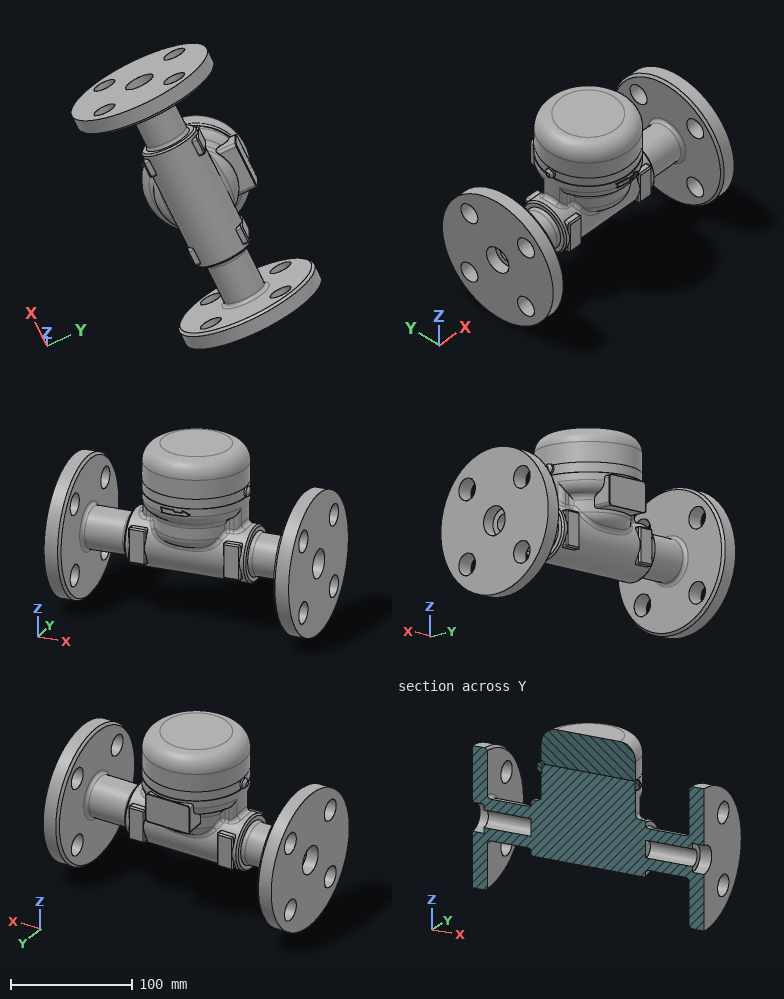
import cadquery as cq
import math


LENGTH = 220.0
FLANGE_DIA = 125.0
FLANGE_THICKNESS = 14.5
FLANGE_CHAMFER = 2.2
BOLT_CIRCLE_DIA = 90.0
BOLT_HOLE_DIA = 19.0
BOLT_HOLE_COUNT = 4

PIPE_DIA = 37.0
SOCKET_DIA = 25.0
SOCKET_DEPTH = 11.0
BORE_DIA = 15.0

BARREL_DIA = 50.0
BARREL_LENGTH = 109.3
BARREL_CHAMFER = 1.5

FLANGE_BLEND_RADIUS = 3.0
FLARE_LENGTH = 3.5
FLARE_RISE = 1.0

FLAT_LENGTH = 15.6
FLAT_HEIGHT = 31.7
FLAT_OUTER_X = 50.4
FLAT_FACE_Y = 25.3
FLAT_ROUND = 1.8
FLAT_CHAMFER = 1.3

NECK_RADIUS = 35.2
BOWL_FLOOR_Z = 7.7
BOWL_FLOOR_ROUND = 10.0
SEAM_RADIUS = 4.0
NECK_TOP_Z = 28.0
RIM_BOTTOM_Z = 42.7
RIM_ROUND = 10.0

CAP_DIA = 90.0
CAP_BOTTOM_Z = 49.3
CAP_TOP_Z = 90.0
CAP_ROUND = 15.0
SPIGOT_DIA = 88.7
SPIGOT_HEIGHT = 8.5
KNOB_DIA = 9.0
KNOB_Z = 54.3
KNOB_TIP_X = 49.0
KNOB_CHAMFER = 2.5

RIB_WIDTH = 25.0
RIB_CORNER_ROUND = 5.0
RIB_NECK_BLEND = 4.0

PLATE_WIDTH = 42.2
PLATE_TOP_Z = 47.0
PLATE_BOTTOM_Z = 20.7
PLATE_CORNER = 2.6
PLATE_THICKNESS = 0.9
PLATE_FACE_Y = 46.2

ARROW_FACE_RADIUS = 46.0
ARROW_Z = 44.2
ARROW_HALF_LENGTH = 13.2
ARROW_NOTCH = 1.8
ARROW_TAIL_LENGTH = 12.0
ARROW_TAIL_HALF = 2.9
ARROW_HEAD_LENGTH = 6.4
ARROW_SHAFT_HALF = 1.3
ARROW_HEAD_HALF = 3.3

cap_radius = CAP_DIA / 2
barrel_end_x = BARREL_LENGTH / 2
flange_inner_x = LENGTH / 2 - FLANGE_THICKNESS
neck_bottom_z = BOWL_FLOOR_Z + BOWL_FLOOR_ROUND
SIDES = (-1, 1)

SELECTION_MARGIN = 1.0


def cylinder_x(diameter, x_start, x_end):
    """Round bar on the X axis between two X positions."""
    return cq.Workplane("YZ", origin=(x_start, 0, 0)).circle(diameter / 2).extrude(x_end - x_start)


def bowl_and_rim():
    """Bowl, waist and rim turned about Z; the waist is two arcs meeting tangentially."""
    rim_center_r = cap_radius - RIM_ROUND
    rise = RIM_BOTTOM_Z - NECK_TOP_Z
    overhang = cap_radius - NECK_RADIUS
    radius_sum = (overhang**2 + rise**2) / (2 * overhang)
    waist_radius = radius_sum - RIM_ROUND
    waist_center_r = NECK_RADIUS + waist_radius
    lean = math.asin(rise / radius_sum)
    half_lean = lean / 2

    def on_rim(angle):
        return (rim_center_r + RIM_ROUND * math.cos(angle), RIM_BOTTOM_Z - RIM_ROUND * math.sin(angle))

    def on_waist(angle):
        return (waist_center_r - waist_radius * math.cos(angle), NECK_TOP_Z + waist_radius * math.sin(angle))

    diagonal = BOWL_FLOOR_ROUND * (1 - math.sqrt(0.5))
    return (
        cq.Workplane("XZ")
        .moveTo(0, BOWL_FLOOR_Z)
        .lineTo(NECK_RADIUS - BOWL_FLOOR_ROUND, BOWL_FLOOR_Z)
        .threePointArc(
            (NECK_RADIUS - diagonal, BOWL_FLOOR_Z + diagonal),
            (NECK_RADIUS, neck_bottom_z),
        )
        .lineTo(NECK_RADIUS, NECK_TOP_Z)
        .threePointArc(on_waist(half_lean), on_waist(lean))
        .threePointArc(on_rim(half_lean), (cap_radius, RIM_BOTTOM_Z))
        .lineTo(cap_radius, CAP_BOTTOM_Z)
        .lineTo(0, CAP_BOTTOM_Z)
        .close()
        .revolve(360, (0, 0), (0, 1))
    )


def neck_and_ribs():
    """Straight part of the neck with a rib at both X ends, blended into it in plan."""
    height = RIM_BOTTOM_Z - neck_bottom_z
    base = cq.Workplane("XY", origin=(0, 0, neck_bottom_z))
    web = base.rect(CAP_DIA, RIB_WIDTH).extrude(height).intersect(base.circle(cap_radius).extrude(height))
    neck = base.circle(NECK_RADIUS).extrude(height)
    web = web.edges("|Z").fillet(RIB_CORNER_ROUND)
    inner_corner_x = math.sqrt(NECK_RADIUS**2 - (RIB_WIDTH / 2) ** 2)
    reach = inner_corner_x + SELECTION_MARGIN
    inner_corners = cq.selectors.BoxSelector((-reach, -RIB_WIDTH, 0), (reach, RIB_WIDTH, CAP_TOP_Z))
    return neck.union(web).edges("|Z").edges(inner_corners).fillet(RIB_NECK_BLEND)


def barrel_and_bowl():
    """Barrel and bowl, with the curve where they meet blended all round."""
    barrel = cylinder_x(BARREL_DIA, -barrel_end_x, barrel_end_x).edges().chamfer(BARREL_CHAMFER)
    middle = barrel.union(bowl_and_rim()).union(neck_and_ribs())
    half_length = barrel_end_x - 2 * BARREL_CHAMFER
    half_width = BARREL_DIA / 2 + SELECTION_MARGIN
    seam = cq.selectors.BoxSelector(
        (-half_length, -half_width, SELECTION_MARGIN),
        (half_length, half_width, half_width),
        boundingbox=True,
    )
    return middle.edges(seam).fillet(SEAM_RADIUS)


def pipe_end():
    """Flange and pipe at the +X end, turned about X with a blend at both ends of the pipe."""
    pipe_r = PIPE_DIA / 2
    flange_r = FLANGE_DIA / 2
    blend_diagonal = FLANGE_BLEND_RADIUS * (1 - math.sqrt(0.5))
    flare_radius = (FLARE_LENGTH**2 + FLARE_RISE**2) / (2 * FLARE_RISE)
    flare_half_angle = math.asin(FLARE_LENGTH / flare_radius) / 2
    flare_start_x = barrel_end_x + FLARE_LENGTH
    flare_middle = (
        flare_start_x - flare_radius * math.sin(flare_half_angle),
        pipe_r + flare_radius * (1 - math.cos(flare_half_angle)),
    )
    end = (
        cq.Workplane("XY")
        .moveTo(barrel_end_x, 0)
        .lineTo(barrel_end_x, pipe_r + FLARE_RISE)
        .threePointArc(flare_middle, (flare_start_x, pipe_r))
        .lineTo(flange_inner_x - FLANGE_BLEND_RADIUS, pipe_r)
        .threePointArc(
            (flange_inner_x - blend_diagonal, pipe_r + blend_diagonal),
            (flange_inner_x, pipe_r + FLANGE_BLEND_RADIUS),
        )
        .lineTo(flange_inner_x, flange_r - FLANGE_CHAMFER)
        .lineTo(flange_inner_x + FLANGE_CHAMFER, flange_r)
        .lineTo(LENGTH / 2, flange_r)
        .lineTo(LENGTH / 2, 0)
        .close()
        .revolve(360, (0, 0), (1, 0))
    )
    bolt_holes = (
        cq.Workplane("YZ", origin=(flange_inner_x, 0, 0))
        .polarArray(BOLT_CIRCLE_DIA / 2, 180 / BOLT_HOLE_COUNT, 360, BOLT_HOLE_COUNT)
        .circle(BOLT_HOLE_DIA / 2)
        .extrude(FLANGE_THICKNESS)
    )
    return end.cut(bolt_holes)


def stepped_bore():
    """Socket in the +X flange face and the narrower blind bore behind it."""
    socket = cylinder_x(SOCKET_DIA, LENGTH / 2 - SOCKET_DEPTH, LENGTH / 2)
    return socket.union(cylinder_x(BORE_DIA, barrel_end_x, LENGTH / 2))


def wrench_flats():
    """Four rounded pads, one at each end of the barrel, front and back."""
    pads = []
    for x_side in SIDES:
        for y_side in SIDES:
            face = ">Y" if y_side > 0 else "<Y"
            pad = (
                cq.Workplane("XY")
                .box(FLAT_LENGTH, FLAT_FACE_Y, FLAT_HEIGHT)
                .edges("|Y")
                .fillet(FLAT_ROUND)
                .faces(face)
                .edges()
                .chamfer(FLAT_CHAMFER)
                .translate((x_side * (FLAT_OUTER_X - FLAT_LENGTH / 2), y_side * FLAT_FACE_Y / 2, 0))
            )
            pads.append(pad)
    return pads


def plate_block(y_start, y_end):
    """Block with the nameplate's rounded outline between two Y positions."""
    height = PLATE_TOP_Z - PLATE_BOTTOM_Z
    return (
        cq.Workplane("XZ", origin=(0, y_end, PLATE_BOTTOM_Z + height / 2))
        .rect(PLATE_WIDTH, height)
        .extrude(y_end - y_start)
        .edges("|Y")
        .fillet(PLATE_CORNER)
    )


def flow_arrow():
    """Raised arrow with a notched tail, pointing to +X, curved with the rim and cut off at its lower edge."""
    tail_x = -ARROW_HALF_LENGTH
    tail_end_x = tail_x + ARROW_TAIL_LENGTH
    head_x = ARROW_HALF_LENGTH - ARROW_HEAD_LENGTH
    upper_edge = [
        (tail_x, ARROW_TAIL_HALF),
        (tail_end_x, ARROW_TAIL_HALF),
        (tail_end_x + ARROW_TAIL_HALF - ARROW_SHAFT_HALF, ARROW_SHAFT_HALF),
        (head_x, ARROW_SHAFT_HALF),
        (head_x, ARROW_HEAD_HALF),
    ]
    lower_edge = [(x, -z) for x, z in reversed(upper_edge)]
    outline = upper_edge + [(ARROW_HALF_LENGTH, 0)] + lower_edge + [(tail_x + ARROW_NOTCH, 0)]
    arrow = cq.Workplane("XZ", origin=(0, 0, ARROW_Z)).polyline(outline).close().extrude(ARROW_FACE_RADIUS)
    rim_band = (
        cq.Workplane("XY", origin=(0, 0, RIM_BOTTOM_Z))
        .circle(ARROW_FACE_RADIUS)
        .extrude(CAP_BOTTOM_Z - RIM_BOTTOM_Z)
    )
    return arrow.intersect(rim_band)


def spigot():
    """Round step on top of the rim that centres the cap."""
    return cq.Workplane("XY", origin=(0, 0, CAP_BOTTOM_Z)).circle(SPIGOT_DIA / 2).extrude(SPIGOT_HEIGHT)


def make_body():
    body = barrel_and_bowl()
    for pad in wrench_flats():
        body = body.union(pad)
    for angle in (0, 180):
        body = body.union(pipe_end().rotate((0, 0, 0), (0, 0, 1), angle))
        body = body.cut(stepped_bore().rotate((0, 0, 0), (0, 0, 1), angle))
    body = body.union(plate_block(0, PLATE_FACE_Y - PLATE_THICKNESS))
    return body.union(flow_arrow()).union(spigot())


def make_cap():
    """Domed cap with a recess for the spigot and a small knob at both X ends."""
    cap = (
        cq.Workplane("XY", origin=(0, 0, CAP_BOTTOM_Z))
        .circle(cap_radius)
        .extrude(CAP_TOP_Z - CAP_BOTTOM_Z)
        .faces(">Z")
        .edges()
        .fillet(CAP_ROUND)
    )
    knobs = cylinder_x(KNOB_DIA, -KNOB_TIP_X, KNOB_TIP_X).edges().chamfer(KNOB_CHAMFER)
    return cap.union(knobs.translate((0, 0, KNOB_Z))).cut(spigot())


def make_nameplate():
    return plate_block(PLATE_FACE_Y - PLATE_THICKNESS, PLATE_FACE_Y)


valve_body = make_body().solids()
cap = make_cap().solids()
nameplate = make_nameplate().solids()

result = cq.Compound.makeCompound([valve_body.val(), cap.val(), nameplate.val()])